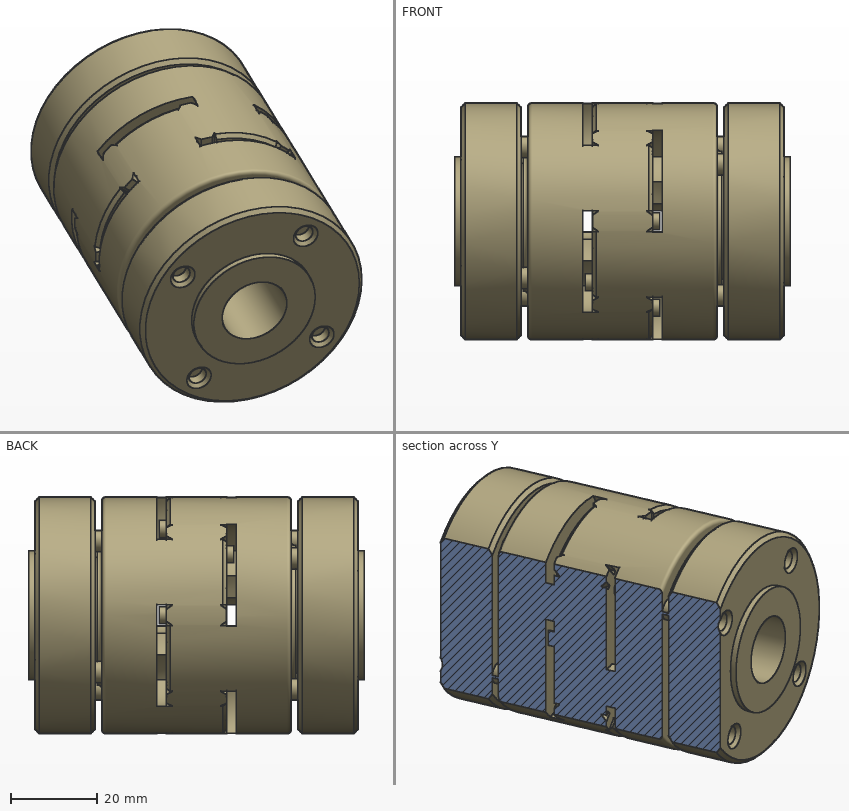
import cadquery as cq
import math

total_length = 78.0
outer_diameter = 55.0
outer_radius = outer_diameter / 2

repeat_count = 4
pitch_angle = 360 / repeat_count

boss_diameter = 30.0
boss_height = 1.5
flange_thickness = 14.0
flange_chamfer = 1.0
hub_bore_diameter = 16.0
neck_diameter = 27.0

sleeve_length = 44.0
sleeve_rim_fillet = 0.9
collar_diameter = 32.5
collar_height = 1.0
collar_root_fillet = 0.8
core_bore_diameter = 12.5

chamber_inner_face = 7.0
chamber_outer_face = 9.2
chamber_diameter = 35.1

lobe_diameter = 25.9
lobe_circle_radius = 22.0

tooth_spacing = pitch_angle / 2
lobe_start_angle = -tooth_spacing / 2
tooth_angle = 10.0
notch_length = 1.4
notch_width = 1.0
notch_depth = 3.1
relief_chamfer = 0.9
cutter_margin = 0.8

pin_diameter = 5.0
pin_circle_radius = 21.7
pin_start_angle = 52.5
hole_diameter = 4.2
hole_depth = 3.5
countersink_diameter = 6.0

stub_diameter = 4.0
stub_circle_radius = 20.05
stub_height = 1.6
stub_root = 0.8
left_stub_start_angle = 45.0
right_stub_start_angle = 0.0

outer_face = total_length / 2
flange_outer_face = outer_face - boss_height
flange_inner_face = flange_outer_face - flange_thickness
sleeve_face = sleeve_length / 2


def disc(x_start, x_end, diameter):
    """Cylinder along X from x_start to x_end."""
    return cq.Workplane("YZ").workplane(offset=x_start).circle(diameter / 2).extrude(x_end - x_start)


def on_circle(body, radius, angle):
    """Move a body off the axis; the angle is measured from +Y towards +Z."""
    y = radius * math.cos(math.radians(angle))
    z = radius * math.sin(math.radians(angle))
    return body.translate((0, y, z))


def spread_angles(start_angle):
    """Angles of the features that repeat evenly around the axis."""
    return [start_angle + i * pitch_angle for i in range(repeat_count)]


def revolve_profile(points, angle=360.0):
    """Turn a closed (x, radius) outline about the X axis."""
    return cq.Workplane("XY").polyline(points).close().revolve(angle, (0, 0, 0), (1, 0, 0))


def turned(body, angle):
    """Rotate a body about the coupling axis."""
    return body.rotate((0, 0, 0), (1, 0, 0), angle)


def flipped(body):
    """Half turn about Y, which carries the right end to the left end."""
    return body.rotate((0, 0, 0), (0, 1, 0), 180)


def right_hub():
    flange = disc(flange_inner_face, flange_outer_face, outer_diameter).edges().chamfer(flange_chamfer)
    return flange.union(disc(flange_outer_face, outer_face, boss_diameter))


def right_collar():
    """Short collar on the sleeve face with a concave fillet at its root."""
    radius = collar_diameter / 2
    collar_face = sleeve_face + collar_height
    arc_sag = collar_root_fillet * (1 - math.sqrt(0.5))
    return (
        cq.Workplane("XY")
        .moveTo(sleeve_face, 0)
        .lineTo(collar_face, 0)
        .lineTo(collar_face, radius)
        .lineTo(sleeve_face + collar_root_fillet, radius)
        .threePointArc(
            (sleeve_face + arc_sag, radius + arc_sag),
            (sleeve_face, radius + collar_root_fillet),
        )
        .close()
        .revolve(360, (0, 0, 0), (1, 0, 0))
    )


def sleeve():
    body = disc(-sleeve_face, sleeve_face, outer_diameter).edges().fillet(sleeve_rim_fillet)
    return body.union(right_collar()).union(flipped(right_collar()))


def tooth_notch(side):
    """Pointed notch on one flank of a tooth that is centred on +Y."""
    half_width = side * outer_radius * math.sin(math.radians(tooth_angle / 2))
    notch = (
        cq.Workplane("XZ")
        .polyline([
            (chamber_inner_face, half_width),
            (chamber_inner_face - notch_length, half_width),
            (chamber_inner_face, half_width - side * notch_width),
        ])
        .close()
        .extrude(-notch_depth - cutter_margin)
    )
    return notch.translate((0, outer_radius - notch_depth, 0))


def slot_cutter():
    """One right-hand slot with its tooth details, centred on +Y."""
    lobe = disc(chamber_inner_face, chamber_outer_face, lobe_diameter)
    slot = lobe.translate((0, lobe_circle_radius, 0))

    relief_angle = tooth_spacing - tooth_angle
    relief_start = chamber_inner_face - relief_chamfer
    relief = revolve_profile([
        (chamber_inner_face, outer_radius - relief_chamfer),
        (relief_start, outer_radius),
        (relief_start, outer_radius + cutter_margin),
        (chamber_inner_face, outer_radius + cutter_margin),
    ], relief_angle)
    slot = slot.union(turned(relief, -relief_angle / 2))

    for tooth_center in (-tooth_spacing / 2, tooth_spacing / 2):
        for side in (-1, 1):
            slot = slot.union(turned(tooth_notch(side), tooth_center))
    return slot


def hub_hole():
    """Countersunk blind hole in the right flange face, placed on the axis."""
    countersink_depth = (countersink_diameter - hole_diameter) / 2
    bottom = flange_outer_face - hole_depth
    return revolve_profile([
        (bottom, 0),
        (bottom, hole_diameter / 2),
        (flange_outer_face - countersink_depth, hole_diameter / 2),
        (flange_outer_face, countersink_diameter / 2),
        (flange_outer_face, 0),
    ])


def right_end():
    """Hub with its blind holes, and the neck and pins that join it to the sleeve."""
    end = right_hub().union(disc(sleeve_face, flange_inner_face, neck_diameter))
    for angle in spread_angles(pin_start_angle):
        pin = disc(sleeve_face, flange_inner_face, pin_diameter)
        end = end.union(on_circle(pin, pin_circle_radius, angle))
        end = end.cut(on_circle(hub_hole(), pin_circle_radius, angle))
    return end


def right_core_cutter():
    """Right chamber together with the lobes that open it to the outside."""
    cutter = disc(chamber_inner_face, chamber_outer_face, chamber_diameter)
    for angle in spread_angles(lobe_start_angle):
        cutter = cutter.union(turned(slot_cutter(), angle))
    return cutter


def right_stubs(start_angle):
    stubs = cq.Workplane("YZ")
    for angle in spread_angles(start_angle):
        stub = disc(chamber_inner_face - stub_root, chamber_inner_face + stub_height, stub_diameter)
        stubs = stubs.add(on_circle(stub, stub_circle_radius, angle))
    return stubs.combine()


core_cutter = right_core_cutter()
hub_end = right_end()
body = sleeve().cut(core_cutter).cut(flipped(core_cutter))
body = body.union(hub_end).union(flipped(hub_end))

body = body.union(right_stubs(right_stub_start_angle))
body = body.union(flipped(right_stubs(left_stub_start_angle)))

body = body.cut(disc(-outer_face, outer_face, core_bore_diameter))
hub_bore = disc(chamber_outer_face, outer_face, hub_bore_diameter)
body = body.cut(hub_bore).cut(flipped(hub_bore))

result = body